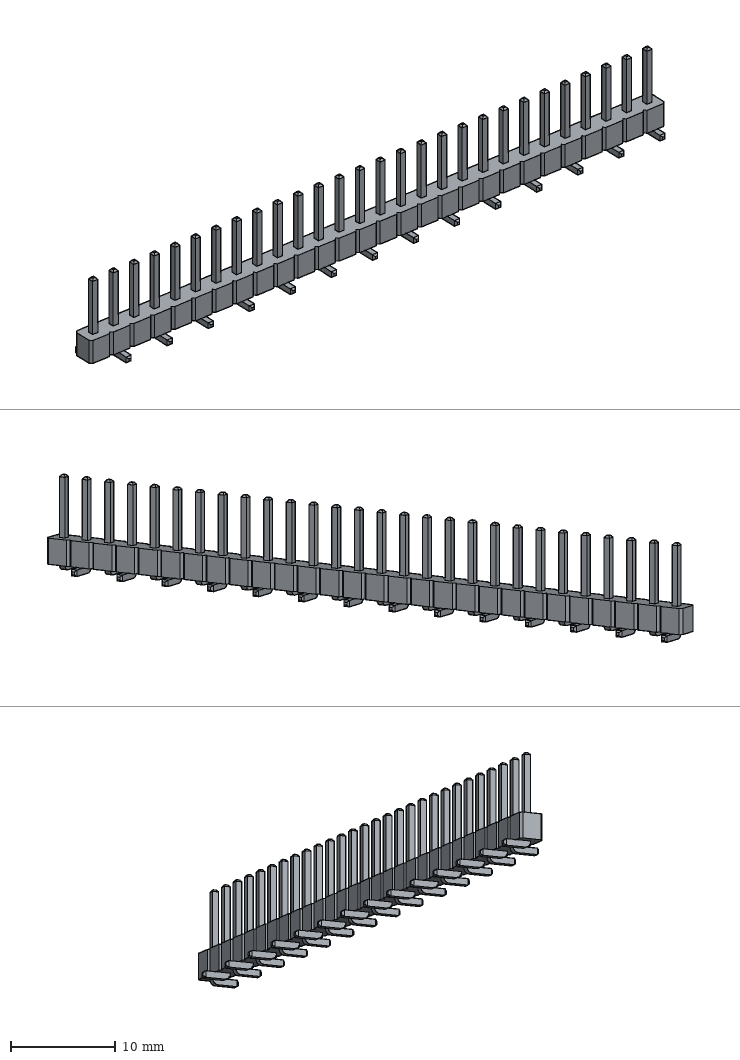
import cadquery as cq

strip_length = 71.1
pin_count = 28
pin_size = 0.65
total_height = 9.3
foot_span = 5.0

body_width = 2.4
body_height = 2.55
body_corner = 0.25
tip_length = 0.2
tip_size = 0.3
bend_radius = 0.6

pitch = strip_length / pin_count
body_bottom = pin_size
foot_reach = foot_span / 2


def block(y):
    """One insulating block: a box with its four upright corners chamfered."""
    return (
        cq.Workplane("XY", origin=(0, y, body_bottom))
        .rect(body_width, pitch)
        .extrude(body_height)
        .edges("|Z")
        .chamfer(body_corner)
    )


def tapered_tip(plane):
    """A pyramid stub that ends a wire, standing on the given plane."""
    return (
        cq.Workplane(plane)
        .rect(pin_size, pin_size)
        .workplane(offset=tip_length)
        .rect(tip_size, tip_size)
        .loft(ruled=True)
    )


def pin(y, side):
    """One L-shaped wire at y whose foot points to +X (side = 1) or -X (side = -1)."""
    half = pin_size / 2
    shank_top = total_height - tip_length
    foot_end = side * (foot_reach - tip_length)
    heel = -side * half

    upright = (
        cq.Workplane("XY", origin=(0, y, 0))
        .rect(pin_size, pin_size)
        .extrude(shank_top)
    )
    foot = (
        cq.Workplane("XY", origin=((heel + foot_end) / 2, y, 0))
        .rect(abs(foot_end - heel), pin_size)
        .extrude(pin_size)
    )
    heel_edge = cq.selectors.NearestToPointSelector((heel, y, 0))
    wire = upright.union(foot).edges(heel_edge).fillet(bend_radius)

    top_plane = cq.Plane((0, y, shank_top))
    foot_plane = cq.Plane((foot_end, y, half), xDir=(0, 1, 0), normal=(side, 0, 0))
    return wire.union(tapered_tip(top_plane)).union(tapered_tip(foot_plane))


solids = []
for index in range(pin_count):
    y_position = (index + 0.5) * pitch - strip_length / 2
    foot_side = -1 if index % 2 == 0 else 1
    solids.append(block(y_position).union(pin(y_position, foot_side)).val())

result = cq.Workplane(solids[0].fuse(*solids[1:]).clean())